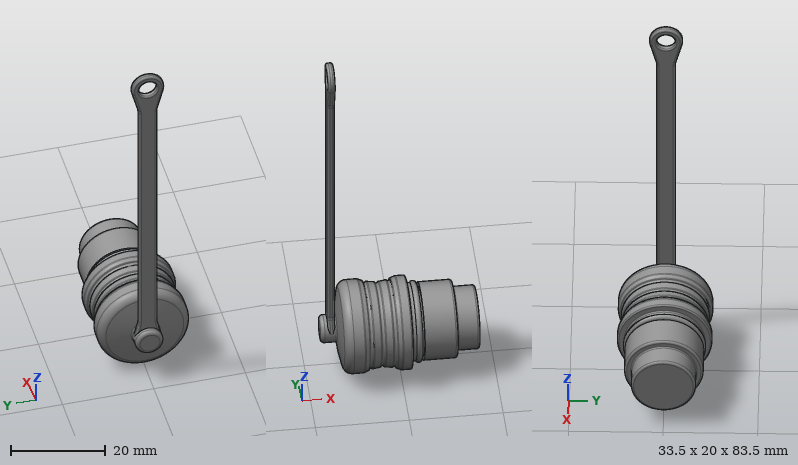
import cadquery as cq
import math


button_radius = 6.0 / 2
button_edge_fillet = 0.8
button_base_fillet = 0.25
dome_apex_x = 3.25
dome_radius = 33.4
shell_radius = 20.0 / 2
shoulder_radius = 2.0

waist_start_x = 8.7
waist_end_x = 16.7
waist_depth = 0.9
waist_edge_fillet = 0.5
groove_radius = 0.4
groove_depth = 0.3
groove_spacing = 2.5
groove_count = 3
groove_edge_fillet = 0.25
shell_end_x = 18.9
shell_edge_fillet = 0.3

plug_radius = 16.7 / 2
seal_groove_radius = 14.8 / 2
seal_groove_start_x = 19.8
seal_groove_end_x = 21.5
plug_end_x = 28.6
tip_radius = 13.6 / 2
tip_end_x = 33.5
plug_edge_fillet = 0.5
plug_root_fillet = 0.25

cord_radius = 0.7

strap_width = 4.0
strap_thickness = 1.5
strap_center_x = 2.25
strap_edge_fillet = 0.5
overall_height = 83.5
loop_radius = 3.5
loop_hole_diameter = 4.0
loop_hole_fillet = 0.3
loop_center_z = overall_height - shell_radius - loop_radius
loop_neck_length = 6.1
button_neck_length = 4.3
neck_blend_radius = 3.0

match_tolerance = 0.01

dome_center_x = dome_apex_x + dome_radius
waist_center_x = (waist_start_x + waist_end_x) / 2
waist_half_length = (waist_end_x - waist_start_x) / 2
waist_arc_radius = (waist_half_length**2 + waist_depth**2) / (2 * waist_depth)
waist_arc_center_r = shell_radius - waist_depth + waist_arc_radius


def revolve_about_x(profile):
    """Turn a closed (x, radius) profile about the X axis."""
    return profile.revolve(360, (0, 0, 0), (1, 0, 0))


def is_turned_edge(edge):
    """True for an edge that runs around the X axis at a constant station."""
    return edge.BoundingBox().xlen < match_tolerance


def fillet_circle(body, x, radius, fillet_radius):
    """Round the turned edge at the given station and radius."""

    def is_wanted(edge):
        point = edge.startPoint()
        at_station = math.isclose(point.x, x, abs_tol=match_tolerance)
        at_radius = math.isclose(math.hypot(point.y, point.z), radius, abs_tol=match_tolerance)
        return is_turned_edge(edge) and at_station and at_radius

    return body.edges().filter(is_wanted).fillet(fillet_radius)


def make_button():
    button = cq.Workplane("YZ").circle(button_radius).extrude(waist_start_x)
    return button.faces("<X").edges().fillet(button_edge_fillet)


def make_shell():
    """Domed front, rounded shoulder and waisted grip."""
    shoulder_center_r = shell_radius - shoulder_radius
    centers_distance = dome_radius - shoulder_radius
    shoulder_center_x = dome_center_x - math.sqrt(centers_distance**2 - shoulder_center_r**2)

    tangent_angle = math.asin(shoulder_center_r / centers_distance)
    tangent_point = (
        dome_center_x - dome_radius * math.cos(tangent_angle),
        dome_radius * math.sin(tangent_angle),
    )
    half_angle = tangent_angle / 2
    dome_mid_point = (
        dome_center_x - dome_radius * math.cos(half_angle),
        dome_radius * math.sin(half_angle),
    )
    shoulder_mid_angle = (tangent_angle + math.pi / 2) / 2
    shoulder_mid_point = (
        shoulder_center_x - shoulder_radius * math.cos(shoulder_mid_angle),
        shoulder_center_r + shoulder_radius * math.sin(shoulder_mid_angle),
    )

    profile = (
        cq.Workplane("XY")
        .moveTo(dome_apex_x, 0)
        .threePointArc(dome_mid_point, tangent_point)
        .threePointArc(shoulder_mid_point, (shoulder_center_x, shell_radius))
        .lineTo(waist_start_x, shell_radius)
        .threePointArc((waist_center_x, shell_radius - waist_depth), (waist_end_x, shell_radius))
        .lineTo(shell_end_x, shell_radius)
        .lineTo(shell_end_x, 0)
        .close()
    )
    shell = revolve_about_x(profile)
    return shell.faces(">X").edges().fillet(shell_edge_fillet)


def cut_grip_grooves(shell):
    """Cut evenly spaced round-bottomed grooves into the waist and soften every edge of the grip."""
    center_arc_radius = waist_arc_radius - (groove_radius - groove_depth)
    for index in range(groove_count):
        offset = (index - (groove_count - 1) / 2) * groove_spacing
        groove_center_x = waist_center_x + offset
        groove_center_r = waist_arc_center_r - math.sqrt(center_arc_radius**2 - offset**2)
        groove = cq.Solid.makeTorus(
            groove_center_r, groove_radius, cq.Vector(groove_center_x, 0, 0), cq.Vector(1, 0, 0)
        )
        shell = shell.cut(cq.Workplane(groove))

    def is_groove_edge(edge):
        inside_waist = waist_start_x + match_tolerance < edge.Center().x < waist_end_x - match_tolerance
        return inside_waist and is_turned_edge(edge)

    shell = shell.edges().filter(is_groove_edge).fillet(groove_edge_fillet)
    for edge_x in (waist_start_x, waist_end_x):
        shell = fillet_circle(shell, edge_x, shell_radius, waist_edge_fillet)
    return shell


def make_cylinder(start_x, end_x, radius):
    return cq.Workplane("YZ", origin=(start_x, 0, 0)).circle(radius).extrude(end_x - start_x)


def make_plug():
    """Stepped plug with the groove that seats the O-ring."""
    seal_land = make_cylinder(waist_start_x, seal_groove_start_x, plug_radius)
    groove_floor = make_cylinder(seal_groove_start_x, seal_groove_end_x, seal_groove_radius)
    barrel = make_cylinder(seal_groove_end_x, plug_end_x, plug_radius)
    tip = make_cylinder(plug_end_x, tip_end_x, tip_radius)
    barrel = barrel.faces(">X").edges().fillet(plug_edge_fillet)
    tip = tip.faces(">X").edges().fillet(plug_edge_fillet)
    plug = seal_land.union(groove_floor).union(barrel).union(tip)
    return fillet_circle(plug, plug_end_x, tip_radius, plug_root_fillet)


def neck_tangent_point(head_radius, neck_length):
    """Point, relative to the head center, where the flared neck edge touches the head circle.

    The neck edge starts at half the strap width, neck_length from the head center.
    """
    half_width = strap_width / 2
    start_distance = math.hypot(half_width, neck_length)
    flare_angle = math.asin(head_radius / start_distance) - math.atan2(half_width, neck_length)
    return head_radius * math.cos(flare_angle), head_radius * math.sin(flare_angle)


def make_strap():
    """Flat strap flaring into a round head at the button and an eyelet at the top."""
    half_width = strap_width / 2
    loop_y, loop_drop = neck_tangent_point(loop_radius, loop_neck_length)
    button_y, button_rise = neck_tangent_point(button_radius, button_neck_length)
    loop_tangent_z = loop_center_z - loop_drop
    loop_neck_z = loop_center_z - loop_neck_length

    outline = (
        cq.Workplane("YZ", origin=(strap_center_x - strap_thickness / 2, 0, 0))
        .moveTo(half_width, button_neck_length)
        .lineTo(half_width, loop_neck_z)
        .lineTo(loop_y, loop_tangent_z)
        .threePointArc((0, loop_center_z + loop_radius), (-loop_y, loop_tangent_z))
        .lineTo(-half_width, loop_neck_z)
        .lineTo(-half_width, button_neck_length)
        .lineTo(-button_y, button_rise)
        .threePointArc((0, -button_radius), (button_y, button_rise))
        .close()
    )
    strap = outline.extrude(strap_thickness)
    neck_corners = strap.edges("|X").filter(
        lambda edge: math.isclose(abs(edge.Center().y), half_width, abs_tol=match_tolerance)
    )
    strap = neck_corners.fillet(neck_blend_radius)
    strap = strap.faces("<X or >X").edges().fillet(strap_edge_fillet)
    eyelet_hole = (
        cq.Workplane("YZ")
        .center(0, loop_center_z)
        .circle(loop_hole_diameter / 2)
        .extrude(strap_center_x + strap_thickness)
    )
    strap = strap.cut(eyelet_hole)

    def is_hole_rim(edge):
        return math.isclose(edge.radius(), loop_hole_diameter / 2, abs_tol=match_tolerance)

    return strap.edges("%CIRCLE").filter(is_hole_rim).fillet(loop_hole_fillet)


def make_cap():
    """Button, shell, plug and strap as one solid, with small blends where they meet."""
    cap = cut_grip_grooves(make_shell()).union(make_button())
    button_base_x = dome_center_x - math.sqrt(dome_radius**2 - button_radius**2)
    cap = fillet_circle(cap, button_base_x, button_radius, button_base_fillet)
    cap = cap.union(make_plug())
    cap = fillet_circle(cap, shell_end_x, plug_radius, plug_root_fillet)
    return cap.union(make_strap())


def make_o_ring():
    """Round-section ring resting on the groove floor against the groove's shell-side wall."""
    ring_center_x = seal_groove_start_x + cord_radius
    ring_radius = seal_groove_radius + cord_radius
    return cq.Workplane(
        cq.Solid.makeTorus(ring_radius, cord_radius, cq.Vector(ring_center_x, 0, 0), cq.Vector(1, 0, 0))
    )


cap = make_cap()
o_ring = make_o_ring()

result = cq.Compound.makeCompound([cap.solids().val(), o_ring.val()])